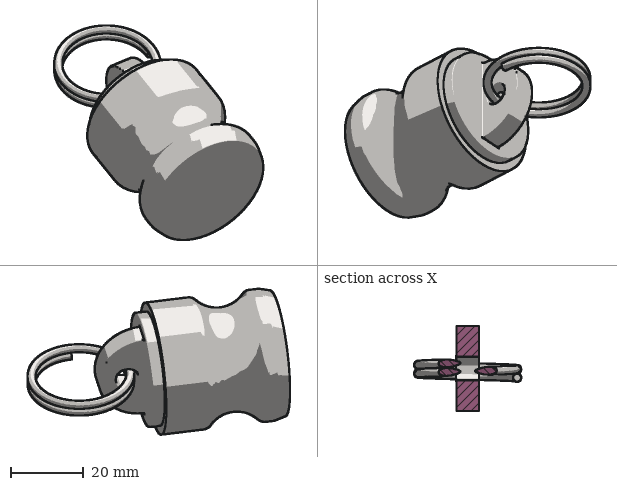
import cadquery as cq
import math

PLUG_LENGTH = 38.1
OVERALL_LENGTH = 69.95

DISC_DIAMETER = 31.75
DISC_THICKNESS = 3.175
EDGE_ROUND = 0.3

BODY_RADIUS = 36.68 / 2
GROOVE_CENTER_X = 23.77
GROOVE_FLOOR_RADIUS = 14.53
GROOVE_ARC_RADIUS = 9.525
SHOULDER_ROUND = 2.29

CONE_START_X = 34.9
CONE_ANGLE = 15.0
END_ROUND = 0.2

LUG_RADIUS = 12.7
LUG_THICKNESS = 6.35
LUG_ROOT_ROUND = 0.38
HOLE_DIAMETER = 6.35
HOLE_X = -4.75

WIRE_DIAMETER = 2.28
RING_OUTER_DIAMETER = 29.5
RING_PITCH = 2.35
RING_TURNS = 1.75
RING_START_ANGLE = 90.0
RING_START_Z = -2.54


def make_barrel():
    """Disc, grooved barrel and lead-in cone, turned about X."""
    center_gap = GROOVE_ARC_RADIUS + SHOULDER_ROUND
    groove_center_radius = GROOVE_FLOOR_RADIUS + GROOVE_ARC_RADIUS
    round_center_radius = BODY_RADIUS - SHOULDER_ROUND
    radial_gap = groove_center_radius - round_center_radius
    shoulder_offset = math.sqrt(center_gap**2 - radial_gap**2)

    share = SHOULDER_ROUND / center_gap
    tangent_offset = shoulder_offset * (1 - share)
    tangent_radius = round_center_radius + radial_gap * share

    half_turn = math.atan2(shoulder_offset, radial_gap) / 2
    mid_offset = shoulder_offset - SHOULDER_ROUND * math.sin(half_turn)
    mid_radius = round_center_radius + SHOULDER_ROUND * math.cos(half_turn)

    cone_slope = math.tan(math.radians(CONE_ANGLE))
    end_radius = BODY_RADIUS - (PLUG_LENGTH - CONE_START_X) * cone_slope
    blend_reach = SHOULDER_ROUND * math.tan(math.radians(CONE_ANGLE / 2))
    blend_end_x = CONE_START_X + blend_reach * math.cos(math.radians(CONE_ANGLE))
    blend_end_radius = BODY_RADIUS - blend_reach * math.sin(math.radians(CONE_ANGLE))

    profile = (
        cq.Workplane("XY")
        .moveTo(0, 0)
        .lineTo(0, DISC_DIAMETER / 2)
        .lineTo(DISC_THICKNESS, DISC_DIAMETER / 2)
        .lineTo(DISC_THICKNESS, BODY_RADIUS)
        .lineTo(GROOVE_CENTER_X - shoulder_offset, BODY_RADIUS)
        .threePointArc(
            (GROOVE_CENTER_X - mid_offset, mid_radius),
            (GROOVE_CENTER_X - tangent_offset, tangent_radius),
        )
        .threePointArc(
            (GROOVE_CENTER_X, GROOVE_FLOOR_RADIUS),
            (GROOVE_CENTER_X + tangent_offset, tangent_radius),
        )
        .threePointArc(
            (GROOVE_CENTER_X + mid_offset, mid_radius),
            (GROOVE_CENTER_X + shoulder_offset, BODY_RADIUS),
        )
        .lineTo(CONE_START_X - blend_reach, BODY_RADIUS)
        .tangentArcPoint((blend_end_x, blend_end_radius), relative=False)
        .lineTo(PLUG_LENGTH, end_radius)
        .lineTo(PLUG_LENGTH, 0)
        .close()
    )
    barrel = profile.revolve(360, (0, 0, 0), (1, 0, 0))
    barrel = barrel.faces(">X").edges().fillet(END_ROUND)
    return barrel.faces("<X").edges().fillet(EDGE_ROUND)


def make_lug():
    """Half disc with a cross hole; the edges of rim and hole are rounded alike."""
    half_disc = (
        cq.Workplane("XZ")
        .moveTo(0, -LUG_RADIUS)
        .threePointArc((-LUG_RADIUS, 0), (0, LUG_RADIUS))
        .close()
        .extrude(LUG_THICKNESS / 2, both=True)
    )
    hole = (
        cq.Workplane("XZ")
        .center(HOLE_X, 0)
        .circle(HOLE_DIAMETER / 2)
        .extrude(LUG_THICKNESS, both=True)
    )
    lug = half_disc.cut(hole)
    return lug.faces("<Y or >Y").edges("%CIRCLE").fillet(EDGE_ROUND)


def make_plug():
    """Barrel and lug in one piece, filleted where the lug's flat sides meet the disc."""
    plug = make_barrel().union(make_lug())
    plug = plug.edges("|Z").fillet(LUG_ROOT_ROUND)

    end_trim = (
        cq.Workplane("XY")
        .box(LUG_ROOT_ROUND, DISC_DIAMETER, DISC_DIAMETER, centered=(False, True, True))
        .translate((-LUG_ROOT_ROUND, 0, 0))
    )
    rim_cylinder = cq.Workplane("XZ").circle(LUG_RADIUS).extrude(DISC_DIAMETER, both=True)
    return plug.cut(end_trim.cut(rim_cylinder))


def make_split_ring():
    """Round wire coiled about a vertical axis and threaded through the lug hole."""
    coil_radius = (RING_OUTER_DIAMETER - WIRE_DIAMETER) / 2
    ring_center_x = PLUG_LENGTH - OVERALL_LENGTH + RING_OUTER_DIAMETER / 2
    coil = cq.Wire.makeHelix(RING_PITCH, RING_PITCH * RING_TURNS, coil_radius)
    wire = (
        cq.Workplane("XZ")
        .center(coil_radius, 0)
        .circle(WIRE_DIAMETER / 2)
        .sweep(cq.Workplane(coil), isFrenet=True)
    )
    wire = wire.rotate((0, 0, 0), (0, 0, 1), RING_START_ANGLE)
    return wire.translate((ring_center_x, 0, RING_START_Z))


plug = make_plug()
split_ring = make_split_ring()

result = cq.Compound.makeCompound([plug.val(), split_ring.val()])